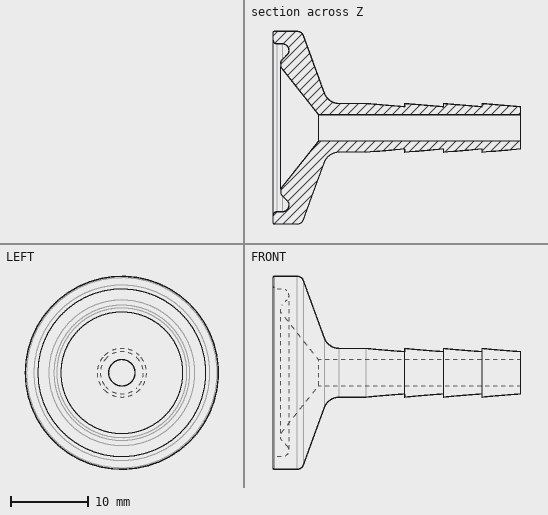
import cadquery as cq
import math

total_length = 32.0
flange_radius = 12.495

rim_edge_fillet = 0.2
shoulder_radius = 0.9
back_taper_angle = 20.0
neck_fillet_radius = 2.0
neck_fillet_end = 8.55

neck_radius = 3.17
barb_tip_radius = 2.75
barb_count = 4
barb_pitch = 5.0
barbs_start = total_length - barb_count * barb_pitch

wall_radius = 10.85
recess_fillet = 0.5
groove_radius = 0.83
groove_centre_x = 1.2
land_x = 1.0
inner_wall_angle = 45.0

funnel_mouth_radius = 7.87
funnel_end = 5.9
bore_radius = 1.7


def arc_point(centre, radius, degrees):
    """Point on a circle in the (x, radius) half plane."""
    angle = math.radians(degrees)
    return (centre[0] + radius * math.cos(angle), centre[1] + radius * math.sin(angle))


def add_arc(outline, centre, radius, start, end):
    """Run to the start of an arc, then follow it to its end."""
    return outline.lineTo(*arc_point(centre, radius, start)).threePointArc(
        arc_point(centre, radius, (start + end) / 2), arc_point(centre, radius, end)
    )


def add_recess(outline):
    """Funnel mouth, inner land and annular groove, out to the flange face."""
    groove_centre = (groove_centre_x, wall_radius - groove_radius)
    land_fillet_x = land_x + recess_fillet

    slope = math.radians(inner_wall_angle)
    centre_gap = groove_radius + recess_fillet
    land_fillet_radius = (
        groove_centre[1]
        - (centre_gap + (groove_centre_x - land_fillet_x) * math.sin(slope)) / math.cos(slope)
    )
    land_fillet_centre = (land_fillet_x, land_fillet_radius)
    rim_fillet_centre = (recess_fillet, wall_radius + recess_fillet)

    outline = outline.lineTo(land_x, funnel_mouth_radius)
    outline = add_arc(outline, land_fillet_centre, recess_fillet, 180, 90 + inner_wall_angle)
    outline = add_arc(outline, groove_centre, groove_radius, inner_wall_angle - 90, 90)
    return add_arc(outline, rim_fillet_centre, recess_fillet, 270, 180)


def add_flange_back(outline):
    """Rounded rim and tapered back, blended into the neck."""
    edge_centre = (rim_edge_fillet, flange_radius - rim_edge_fillet)
    neck_centre = (neck_fillet_end, neck_radius + neck_fillet_radius)

    taper = math.radians(back_taper_angle)
    shoulder_height = flange_radius - shoulder_radius
    centre_gap = shoulder_radius + neck_fillet_radius
    shoulder_x = (
        neck_fillet_end
        - (centre_gap + (shoulder_height - neck_centre[1]) * math.sin(taper)) / math.cos(taper)
    )
    shoulder_centre = (shoulder_x, shoulder_height)

    outline = add_arc(outline, edge_centre, rim_edge_fillet, 180, 90)
    outline = add_arc(outline, shoulder_centre, shoulder_radius, 90, back_taper_angle)
    return add_arc(outline, neck_centre, neck_fillet_radius, 180 + back_taper_angle, 270)


def add_barbs(outline):
    """Equal tapered barbs, each narrowing towards the hose end."""
    for index in range(barb_count):
        start = barbs_start + index * barb_pitch
        outline = outline.lineTo(start, neck_radius)
        outline = outline.lineTo(start + barb_pitch, barb_tip_radius)
    return outline


profile = cq.Workplane("XY").moveTo(total_length, bore_radius).lineTo(funnel_end, bore_radius)
profile = add_recess(profile)
profile = add_flange_back(profile)
profile = add_barbs(profile).close()

result = profile.revolve(360, (0, 0, 0), (1, 0, 0))